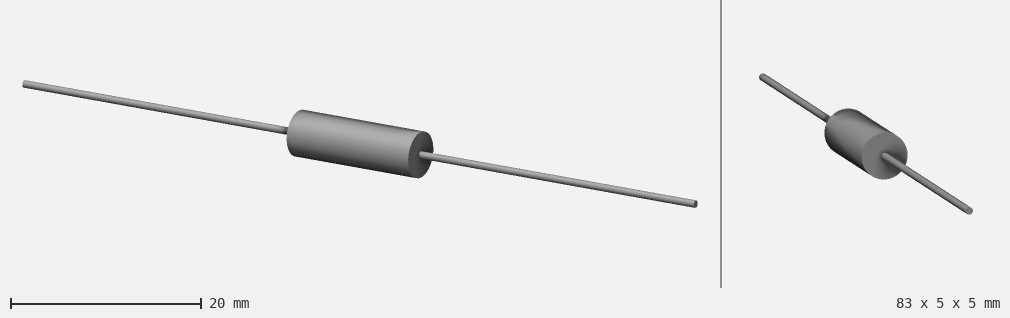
import cadquery as cq

overall_length = 83.0
housing_length = 15.0
housing_diameter = 5.0
lead_diameter = 0.8

lead_length = (overall_length - housing_length) / 2


def make_housing():
    """Cylindrical housing along X, centred on the origin."""
    return (
        cq.Workplane("YZ", origin=(-housing_length / 2, 0, 0))
        .circle(housing_diameter / 2)
        .extrude(housing_length)
    )


def make_lead(side):
    """Straight round lead on the -X (side = -1) or +X (side = 1) end face."""
    return (
        cq.Workplane("YZ", origin=(side * housing_length / 2, 0, 0))
        .circle(lead_diameter / 2)
        .extrude(side * lead_length)
    )


housing = make_housing()
leads = [make_lead(side) for side in (-1, 1)]

result = cq.Compound.makeCompound([housing.val(), *[lead.val() for lead in leads]])